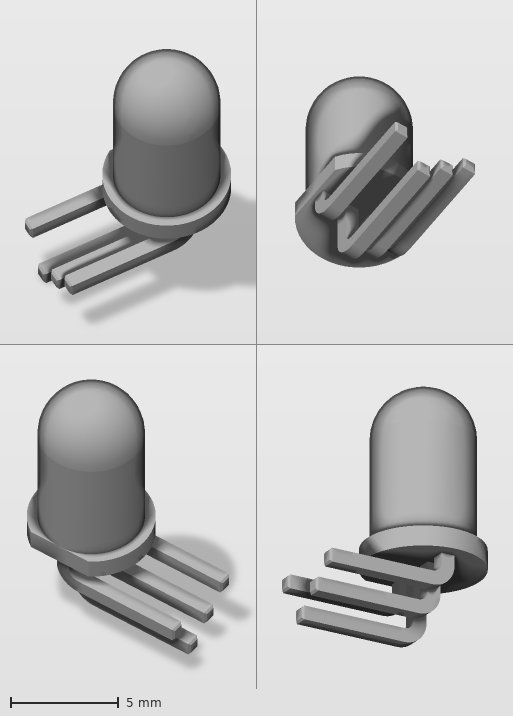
import cadquery as cq

lens_radius = 2.5
lens_top = 9.0

flange_radius = 3.0
flange_height = 1.0

lead_size = 0.7
lead_pitch = 1.27
lead_reach = 6.35
bend_inner_radius = 0.5
bend_outer_radius = bend_inner_radius + lead_size
tip_chamfer = 0.1
deepest_lead = 12.7 - lens_top
lead_step = 1.0
lead_depths = [
    deepest_lead - 2 * lead_step,
    deepest_lead,
    deepest_lead - lead_step,
    deepest_lead - 2 * lead_step,
]


def make_flange():
    disc = cq.Workplane("XY").circle(flange_radius).extrude(flange_height)
    flat_keep = (
        cq.Workplane("XY")
        .box(2 * flange_radius, 2 * flange_radius, flange_height, centered=(False, True, False))
        .translate((-lens_radius, 0, 0))
    )
    return disc.intersect(flat_keep)


def make_lens():
    dome_base = lens_top - lens_radius
    barrel = cq.Workplane("XY").circle(lens_radius).extrude(dome_base)
    dome = cq.Workplane("XY").sphere(lens_radius).translate((0, 0, dome_base))
    return barrel.union(dome)


def make_lead(x_center, depth):
    half = lead_size / 2
    lead = (
        cq.Workplane("YZ", origin=(x_center - half, 0, 0))
        .moveTo(half, 0)
        .lineTo(half, bend_outer_radius - depth)
        .radiusArc((half - bend_outer_radius, -depth), bend_outer_radius)
        .lineTo(-lead_reach, -depth)
        .lineTo(-lead_reach, lead_size - depth)
        .lineTo(-half - bend_inner_radius, lead_size - depth)
        .radiusArc((-half, bend_outer_radius - depth), -bend_inner_radius)
        .lineTo(-half, 0)
        .close()
        .extrude(lead_size)
    )
    return lead.faces("<Y").chamfer(tip_chamfer)


result = make_flange().union(make_lens())
first_lead_x = -lead_pitch * (len(lead_depths) - 1) / 2
for index, depth in enumerate(lead_depths):
    result = result.union(make_lead(first_lead_x + index * lead_pitch, depth))